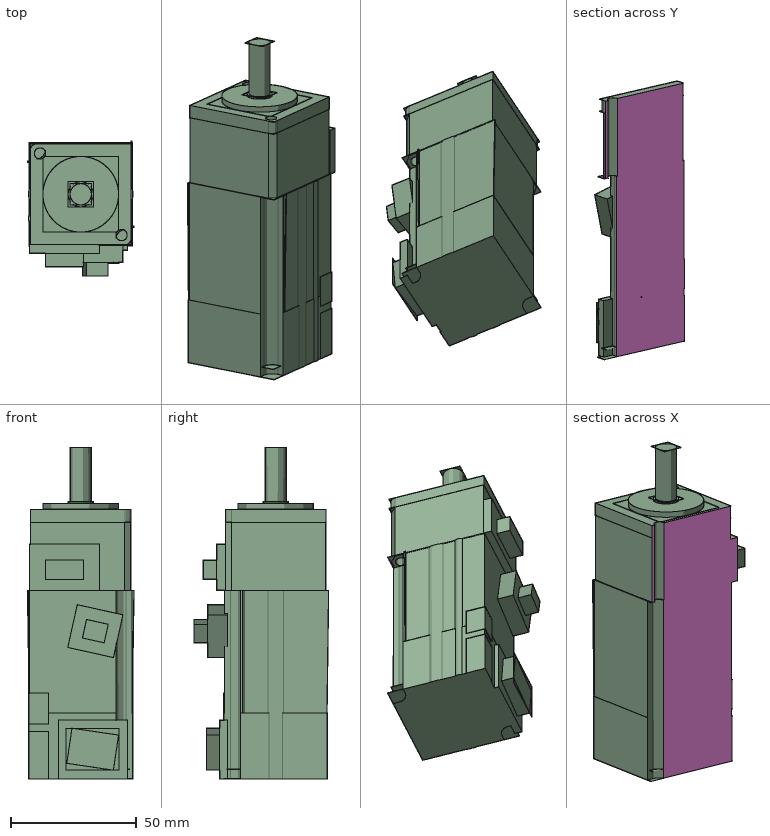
import cadquery as cq

cap_plate_top = 4.0
base_top = 26.3
motor_top = 75.1
gearhead_top = 102.2
flange_top = 107.3
pilot_top = 109.7
collar_top = 110.5
shaft_top = 132.0

base_side = 41.0
motor_side = 40.9
cap_plate_side = 39.0
gearhead_side = 40.0
flange_side = 40.1
body_half = motor_side / 2
corner_size = 2.5

notch_depth = 6.5
notch_radius = 4.0
hole_radius = 2.2
hole_offset = 16.2

pilot_radius = 15.0
collar_radius = 5.0
shaft_radius = 4.2

sheet = 0.1

overlap = 1.3

rib_reach = 21.3
rib_reach_back = 21.1
rib_thickness = 0.5
rib_length = 50.2
rib_offset = 12.7

wide_bead_width = 6.1
wide_bead_height = 0.3
narrow_bead_width = 3.2
narrow_bead_height = 0.4
narrow_bead_y = -9.6

panel_right = 7.4
panel_top = 93.5
panel_face = -23.5
socket_left = -14.1
socket_right = 1.0
socket_bottom = 79.5
socket_top = 87.1
socket_face = -28.9

connector_x = 5.8
connector_z = 58.9
connector_width = 18.6
connector_height = 17.4
connector_tilt = 12.5
connector_face = -27.0
plug_width = 8.8
plug_height = 7.5
plug_face = -32.6

base_panel_left = -8.8
base_panel_right = 18.6
base_panel_top = 23.5
base_panel_face = -22.3
base_connector_x = 4.8
base_connector_z = 11.9
base_connector_width = 18.7
base_connector_height = 14.1
base_connector_tilt = 8.4
base_connector_face = -27.6
face_plate_width = 21.1
face_plate_height = 16.6

pad_rise = 0.4
pad_side_rise = 0.1
pad_width = 7.7
lower_pad = (0, 19.0)
upper_pad = (21.9, 34.2)


def block(x_min, x_max, y_min, y_max, z_min, z_max):
    """Box given by its limits."""
    size = (x_max - x_min, y_max - y_min, z_max - z_min)
    return cq.Workplane("XY").box(*size, centered=False).translate((x_min, y_min, z_min))


def square(side, z_min, z_max):
    """Square prism centred on the shaft axis."""
    return block(-side / 2, side / 2, -side / 2, side / 2, z_min, z_max)


def cut_corner_edges(prism):
    """Upright edges at the -X +Y and +X -Y corners."""
    diagonal = cq.Vector(-1, 1, 0)
    upright = prism.edges("|Z")
    first = upright.edges(cq.selectors.DirectionMinMaxSelector(diagonal, True))
    last = upright.edges(cq.selectors.DirectionMinMaxSelector(diagonal, False))
    return first.add(last)


def disc(radius, z_min, z_max):
    return cq.Workplane("XY").workplane(offset=z_min).circle(radius).extrude(z_max - z_min)


def front_box(x, z, width, height, y_face, tilt=0.0, y_back=overlap - body_half):
    """Box standing out of the -Y side, turned clockwise by tilt about its own centre."""
    box = block(-width / 2, width / 2, y_face, y_back, -height / 2, height / 2)
    return box.rotate((0, 0, 0), (0, 1, 0), tilt).translate((x, 0, z))


def half_turn(shape):
    return shape.rotate((0, 0, 0), (0, 0, 1), 180)


def corner_notch():
    """Square recess in the -X +Y corner with a rounded inner edge."""
    outer = base_side / 2
    inner = body_half - notch_depth
    notch = block(-outer, -inner, inner, outer, 0, motor_top)
    return notch.edges("|Z and >X and <Y").fillet(notch_radius)


def side_bead(y, width, height):
    """Shallow rounded bead along the -X side, from the bottom to the gearhead."""
    return (
        cq.Workplane("XY")
        .moveTo(-body_half, y - width / 2)
        .threePointArc((-body_half - height, y), (-body_half, y + width / 2))
        .lineTo(overlap - body_half, y + width / 2)
        .lineTo(overlap - body_half, y - width / 2)
        .close()
        .extrude(motor_top)
    )


def tapered_rib(reach):
    """Rib on the +X side that is widest at the top and fades out downwards."""
    return (
        cq.Workplane("XZ")
        .moveTo(body_half - overlap, motor_top)
        .lineTo(reach, motor_top)
        .lineTo(body_half, motor_top - rib_length)
        .lineTo(body_half - overlap, motor_top - rib_length)
        .close()
        .extrude(rib_thickness)
    )


result = square(base_side, 0, base_top).union(square(motor_side, base_top, motor_top))
result = result.cut(corner_notch()).cut(half_turn(corner_notch()))

gearhead = cut_corner_edges(square(gearhead_side, motor_top, gearhead_top)).chamfer(corner_size)
flange = cut_corner_edges(square(flange_side, gearhead_top, flange_top)).fillet(corner_size)
result = result.union(gearhead).union(flange)
result = result.union(disc(pilot_radius, flange_top, pilot_top))
result = result.union(disc(collar_radius, pilot_top, collar_top))
result = result.union(disc(shaft_radius, collar_top, shaft_top))

for side, plate_top in (
    (base_side, sheet),
    (cap_plate_side, cap_plate_top),
    (motor_side, motor_top),
    (flange_side, gearhead_top + sheet),
    (flange_side, flange_top),
    (2 * pilot_radius, flange_top + sheet),
    (2 * collar_radius, collar_top),
    (2 * shaft_radius, shaft_top),
):
    result = result.union(square(side, plate_top - sheet, plate_top))

wide_bead = side_bead(0, wide_bead_width, wide_bead_height)
result = result.union(wide_bead).union(half_turn(wide_bead))
result = result.union(side_bead(narrow_bead_y, narrow_bead_width, narrow_bead_height))
side_rib = tapered_rib(rib_reach).translate((0, -rib_offset, 0))
result = result.union(side_rib).union(half_turn(side_rib))
back_rib = tapered_rib(rib_reach_back).rotate((0, 0, 0), (0, 0, 1), 90)
result = result.union(back_rib.translate((body_half - rib_thickness, 0, 0)))

panel = block(-body_half, panel_right, panel_face, -gearhead_side / 2, motor_top, panel_top)
socket = block(socket_left, socket_right, socket_face, panel_face, socket_bottom, socket_top)
result = result.union(panel).union(socket)

for width, height, face in (
    (connector_width, connector_height, connector_face),
    (plug_width, plug_height, plug_face),
):
    result = result.union(front_box(connector_x, connector_z, width, height, face, connector_tilt))

base_panel_back = overlap - body_half
result = result.union(
    block(base_panel_left, base_panel_right, base_panel_face, base_panel_back, 0, base_panel_top)
)
base_connector = front_box(
    base_connector_x,
    base_connector_z,
    base_connector_width,
    base_connector_height,
    base_connector_face,
    base_connector_tilt,
)
face_plate = front_box(
    base_connector_x,
    base_connector_z,
    face_plate_width,
    face_plate_height,
    base_connector_face,
    y_back=base_connector_face + sheet,
)
result = result.union(base_connector).union(face_plate)

for pad_bottom, pad_top in (lower_pad, upper_pad):
    pad = block(
        -base_side / 2 - pad_side_rise,
        pad_width - body_half,
        -body_half - pad_rise,
        pad_width - body_half,
        pad_bottom,
        pad_top,
    )
    result = result.union(pad)

hole = disc(hole_radius, motor_top - sheet, pilot_top).translate((-hole_offset, hole_offset, 0))
result = result.cut(hole).cut(half_turn(hole))